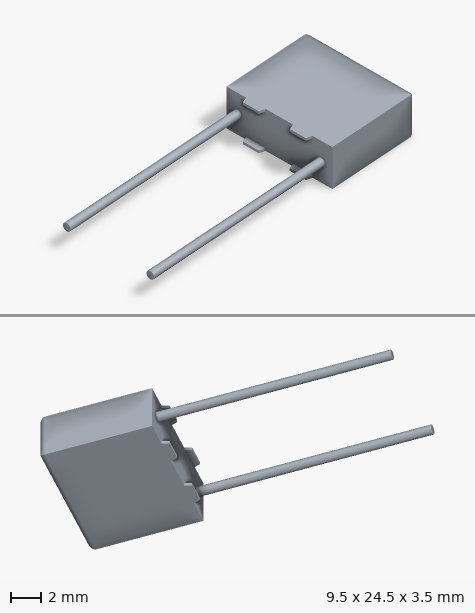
import cadquery as cq

total_length = 24.5
case_width = 9.5
case_height = 3.5
case_length = 7.99
end_radius = 0.47

foot_spacing = 4.21
foot_base_width = 1.76
foot_tip_width = 1.45
foot_length = 0.5
foot_thickness = 0.22

lead_spacing = 7.5
lead_diameter = 0.69

closed_end_y = total_length / 2
lead_face_y = closed_end_y - case_length
lead_length = total_length - case_length


def make_foot(center_x, bottom_z):
    """Tapered foot reaching from the lead face toward -Y."""
    half_base = foot_base_width / 2
    half_tip = foot_tip_width / 2
    tip_y = lead_face_y - foot_length
    outline = [
        (center_x - half_base, lead_face_y),
        (center_x - half_tip, tip_y),
        (center_x + half_tip, tip_y),
        (center_x + half_base, lead_face_y),
    ]
    return cq.Workplane("XY", origin=(0, 0, bottom_z)).polyline(outline).close().extrude(foot_thickness)


def make_case():
    """Box with a rounded closed end and four feet on the lead face."""
    case = (
        cq.Workplane("XY", origin=(0, lead_face_y + case_length / 2, 0))
        .box(case_width, case_length, case_height)
        .faces(">Y")
        .edges()
        .fillet(end_radius)
    )
    for center_x in (-foot_spacing / 2, foot_spacing / 2):
        for bottom_z in (-case_height / 2, case_height / 2 - foot_thickness):
            case = case.union(make_foot(center_x, bottom_z))
    return case


def make_lead(center_x):
    """Straight round wire from the lead face toward -Y."""
    return (
        cq.Workplane("XZ", origin=(center_x, lead_face_y, 0))
        .circle(lead_diameter / 2)
        .extrude(lead_length)
    )


case = make_case()
leads = [make_lead(center_x).val() for center_x in (-lead_spacing / 2, lead_spacing / 2)]

result = cq.Compound.makeCompound([case.val(), *leads])